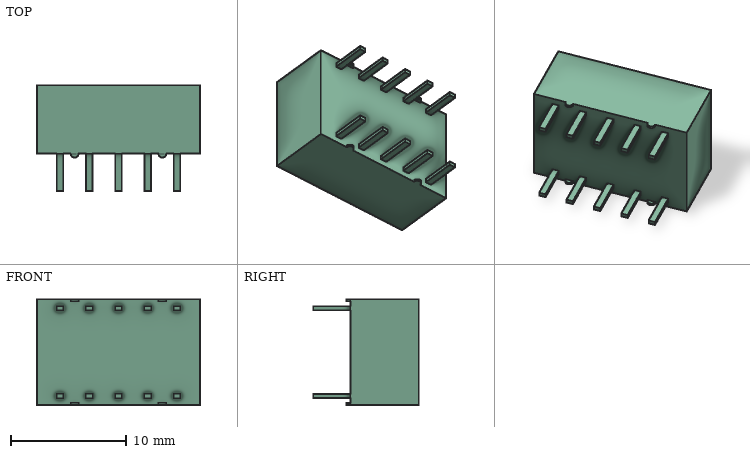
import cadquery as cq

body_length = 14.2
body_height = 9.2
overall_depth = 9.2
pin_length = 3.25
body_depth = overall_depth - pin_length

pins_per_row = 5
pin_pitch = 2.54
row_spacing = 3 * pin_pitch
pin_width = 0.6
pin_thickness = 0.35

standoff_diameter = 0.7
standoff_thickness = 0.2
standoff_spacing = 3 * pin_pitch


def make_body():
    """Box centred on X and Z, with its front face on Y = 0."""
    return cq.Workplane("XY").box(body_length, body_depth, body_height, centered=(True, False, True))


def make_pins():
    """Both rows of pins, running forward from the front face."""
    return (
        cq.Workplane("XZ")
        .rarray(pin_pitch, row_spacing, pins_per_row, 2)
        .rect(pin_width, pin_thickness)
        .extrude(pin_length)
    )


def make_standoffs(bottom_z):
    """A pair of discs half sunk in the body, with their underside at bottom_z."""
    return (
        cq.Workplane("XY", origin=(0, 0, bottom_z))
        .pushPoints([(-standoff_spacing / 2, 0), (standoff_spacing / 2, 0)])
        .circle(standoff_diameter / 2)
        .extrude(standoff_thickness)
    )


result = make_body().union(make_pins())
for bottom_z in (-body_height / 2, body_height / 2 - standoff_thickness):
    result = result.union(make_standoffs(bottom_z))